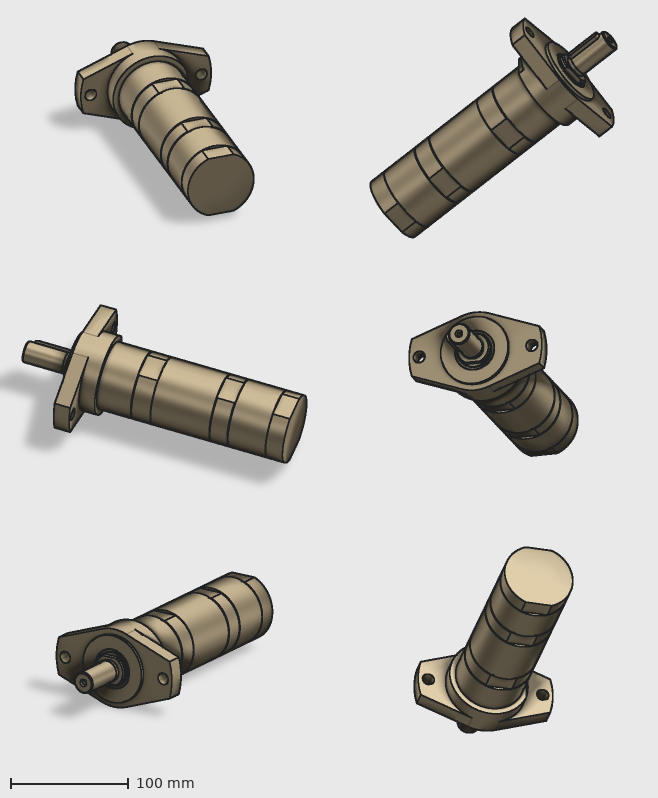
import cadquery as cq
import math

KEY_START = 4.1
KEY_END = 37.2
JOURNAL_START = 36.2
COLLAR_START = 39.5
COLLAR_SEAM_START = 43.3
PILOT_START = 44.0
FLANGE_START = 47.0
FLANGE_END = 61.0
STEP_FLAT_START = 69.5
BOSS_END = 75.0
REAR_END = 243.0

WIDE_SEAM = 0.7
NARROW_SEAM = 0.2
SEAM_DEPTH = 0.2

SHAFT_DIAMETER = 18.7
JOURNAL_DIAMETER = 19.0
TIP_CHAMFER = 1.0
KEY_WIDTH = 6.0
KEY_TOP = 12.5
COLLAR_DIAMETER = 30.0
COLLAR_CHAMFER = 1.2
COLLAR_FLATS = 24.0
RECESS_DIAMETER = 35.0
RECESS_DEPTH = 1.5

CENTRE_DIAMETER = 4.1
CENTRE_MOUTH_DIAMETER = 6.3
CENTRE_DEPTH = 9.7
MOUTH_HALF_ANGLE = math.radians(30)
POINT_HALF_ANGLE = math.radians(59)

FLANGE_SPAN = 118.0
BOSS_DIAMETER = 70.0
EDGE_SLOPE = math.radians(20)
BOLT_HOLE_DIAMETER = 10.2
BOLT_SPACING = 100.0
STEP_FLAT_Y = 31.8

BODY_DIAMETER = 59.8
FLATS_ACROSS = 55.2
FLAT_SPANS = [(105.7, 123.7), (176.7, 193.7), (227.5, REAR_END)]
SEAMS = [
    (FLAT_SPANS[0][0], FLAT_SPANS[0][0] + WIDE_SEAM),
    (FLAT_SPANS[0][1] - NARROW_SEAM, FLAT_SPANS[0][1]),
    (FLAT_SPANS[1][0], FLAT_SPANS[1][0] + WIDE_SEAM),
    (FLAT_SPANS[1][1] - WIDE_SEAM, FLAT_SPANS[1][1]),
    (FLAT_SPANS[2][0], FLAT_SPANS[2][0] + NARROW_SEAM),
]


def cylinder(start, end, diameter):
    """Round bar along X between two stations."""
    return cq.Workplane("YZ", origin=(start, 0, 0)).circle(diameter / 2).extrude(end - start)


def ring(start, end, outer, inner):
    """Tube along X, used to cut grooves and recesses."""
    return cylinder(start, end, outer).cut(cylinder(start, end, inner))


def outside_flats(start, end, across):
    """Material above and below a pair of flats that are normal to Z."""
    band = cq.Workplane("XY").box(end - start, BODY_DIAMETER, 2 * BODY_DIAMETER)
    kept = cq.Workplane("XY").box(end - start, BODY_DIAMETER, across)
    return band.cut(kept).translate(((start + end) / 2, 0, 0))


def make_flange():
    """Two-bolt plate with sloping edges tangent to the boss and arc ends centred on the axis."""
    boss_radius = BOSS_DIAMETER / 2
    end_radius = FLANGE_SPAN / 2
    tangent_y = boss_radius * math.sin(EDGE_SLOPE)
    tangent_z = boss_radius * math.cos(EDGE_SLOPE)
    corner_angle = math.pi / 2 - EDGE_SLOPE - math.acos(boss_radius / end_radius)
    corner_y = end_radius * math.cos(corner_angle)
    corner_z = end_radius * math.sin(corner_angle)
    plate = (
        cq.Workplane("YZ", origin=(FLANGE_START, 0, 0))
        .moveTo(-tangent_y, tangent_z)
        .lineTo(tangent_y, tangent_z)
        .lineTo(corner_y, corner_z)
        .threePointArc((end_radius, 0), (corner_y, -corner_z))
        .lineTo(tangent_y, -tangent_z)
        .lineTo(-tangent_y, -tangent_z)
        .lineTo(-corner_y, -corner_z)
        .threePointArc((-end_radius, 0), (-corner_y, corner_z))
        .close()
        .extrude(FLANGE_END - FLANGE_START)
    )
    for side in (-1, 1):
        hole = cylinder(FLANGE_START, FLANGE_END, BOLT_HOLE_DIAMETER)
        plate = plate.cut(hole.translate((0, side * BOLT_SPACING / 2, 0)))
    return plate


def make_boss():
    """Round boss running through and behind the flange, with a flat on its +Y side."""
    boss = cylinder(FLANGE_START, BOSS_END, BOSS_DIAMETER)
    flat_cut = cq.Workplane("XY").box(
        BOSS_END - STEP_FLAT_START, BOSS_DIAMETER, BOSS_DIAMETER, centered=(False, False, True)
    )
    return boss.cut(flat_cut.translate((STEP_FLAT_START, STEP_FLAT_Y, 0)))


def make_body():
    """Long cylinder with three pairs of flats, hairline seams and a recessed front face."""
    body = cylinder(PILOT_START, REAR_END, BODY_DIAMETER)
    for start, end in FLAT_SPANS:
        body = body.cut(outside_flats(start, end, FLATS_ACROSS))
    for start, end in SEAMS:
        body = body.cut(ring(start, end, BODY_DIAMETER, BODY_DIAMETER - 2 * SEAM_DEPTH))
    recess = ring(PILOT_START, PILOT_START + RECESS_DEPTH, RECESS_DIAMETER, COLLAR_DIAMETER)
    return body.cut(recess)


def make_collar():
    """Chamfered round collar with two flats and a hairline seam."""
    collar = cylinder(COLLAR_START, PILOT_START, COLLAR_DIAMETER)
    collar = collar.faces("<X").chamfer(COLLAR_CHAMFER)
    seam_end = COLLAR_SEAM_START + NARROW_SEAM
    seam_floor = COLLAR_DIAMETER - 2 * SEAM_DEPTH
    collar = collar.cut(ring(COLLAR_SEAM_START, seam_end, COLLAR_DIAMETER, seam_floor))
    return collar.cut(outside_flats(COLLAR_START, PILOT_START, COLLAR_FLATS))


def make_key():
    """Round-ended parallel key standing on the +Y side of the shaft."""
    return (
        cq.Workplane("XZ", origin=((KEY_START + KEY_END) / 2, 0, 0))
        .slot2D(KEY_END - KEY_START, KEY_WIDTH)
        .extrude(-KEY_TOP)
    )


def make_centre_hole():
    """Drilled hole with a countersunk mouth and a conical bottom."""
    radius = CENTRE_DIAMETER / 2
    mouth_radius = CENTRE_MOUTH_DIAMETER / 2
    mouth_depth = (mouth_radius - radius) / math.tan(MOUTH_HALF_ANGLE)
    point_depth = radius / math.tan(POINT_HALF_ANGLE)
    return (
        cq.Workplane("XY")
        .polyline([
            (0, 0),
            (0, mouth_radius),
            (mouth_depth, radius),
            (CENTRE_DEPTH, radius),
            (CENTRE_DEPTH + point_depth, 0),
        ])
        .close()
        .revolve(360, (0, 0, 0), (1, 0, 0))
    )


def make_shaft():
    """Keyed shaft with a chamfered tip and a slightly larger journal."""
    shaft = cylinder(0, JOURNAL_START, SHAFT_DIAMETER).faces("<X").chamfer(TIP_CHAMFER)
    shaft = shaft.union(cylinder(JOURNAL_START, COLLAR_START, JOURNAL_DIAMETER))
    return shaft.union(make_key()).cut(make_centre_hole())


result = (
    make_body()
    .union(make_boss())
    .union(make_flange())
    .union(make_collar())
    .union(make_shaft())
    .clean()
)